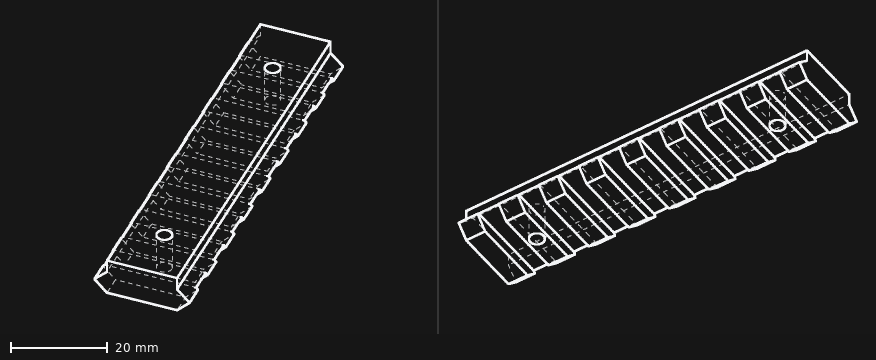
import cadquery as cq

length = 85.05
width = 21.3
height = 8.5
body_width = 15.65

tip_height = 2.8
neck_height = 5.5

hole_diameter = 3.3
hole_spacing = 60.05
pitches_between_holes = 6

slot_count = 8
slot_pitch = hole_spacing / pitches_between_holes
slot_width = 5.3
slot_depth = 3.2

tooth_length = slot_pitch - slot_width
pattern_length = slot_count * slot_pitch + tooth_length
pattern_center = (pattern_length - length) / 2


def rail_body():
    """Extrude the pointed-flank profile, centred on Y with its base at Z = 0."""
    right_half = [
        (body_width / 2, 0),
        (width / 2, tip_height),
        (body_width / 2, neck_height),
        (body_width / 2, height),
    ]
    left_half = [(-x, z) for x, z in reversed(right_half)]
    profile = cq.Workplane("XZ").polyline(right_half + left_half).close()
    return profile.extrude(length / 2, both=True)


def cross_slots():
    """Evenly spaced slots across the full width of the underside."""
    return (
        cq.Workplane("XY")
        .center(0, pattern_center)
        .rarray(0.85, slot_pitch, 1, slot_count)
        .rect(width, slot_width)
        .extrude(slot_depth)
    )


def mounting_holes():
    """Two plain holes through the full height."""
    return (
        cq.Workplane("XY")
        .center(0, pattern_center)
        .rarray(0.85, hole_spacing, 1, 2)
        .circle(hole_diameter / 2)
        .extrude(height)
    )


result = rail_body().cut(cross_slots()).cut(mounting_holes())